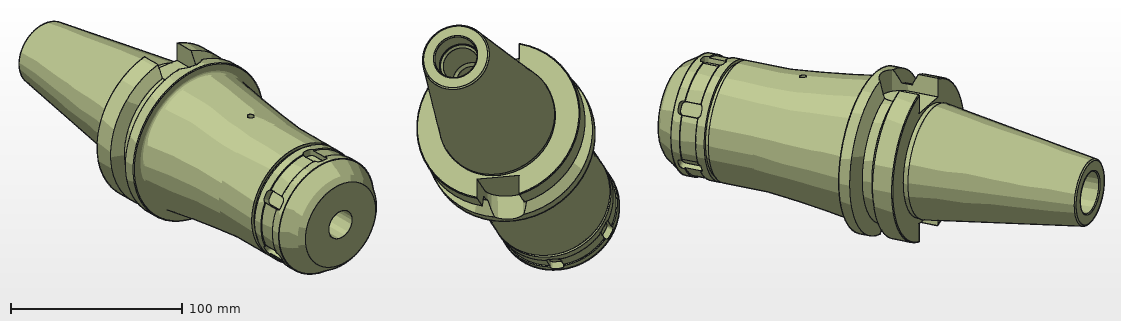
import cadquery as cq

length = 266.8
flange_radius = 100.0 / 2

taper_length = 101.5
small_end_radius = 20.0
taper_slope = 7 / 48
end_bevel = 0.8
relief_start = 102.7
relief_radius = 34.5

flange_start = 104.5
front_rim_radius = 49.0
front_rim_end = 117.5
groove_start = 121.5
groove_end = 127.5
groove_radius = 42.0
rear_rim_start = 131.8
flange_end = 139.3
rim_bevel = 0.5

neck_fillet = 2.5
neck_start = flange_end + neck_fillet
neck_start_radius = 43.5
neck_middle_radius = 39.5
body_start = 200.6
body_radius = 73.0 / 2
body_end = 229.7

nut_gap_radius = 69.5 / 2
nut_start = 232.5
nut_radius = body_radius
band_start = 238.0
band_end = 248.5
band_radius = 35.8
nose_start = 254.0
nose_step = 0.4
nose_end = 263.9
nose_end_radius = 30.1
face_radius = 27.0

key_width = 25.3
key_end = 135.3
key_floor = 35.5

slot_count = 6
slot_place = 243.9
slot_length = 15.0
slot_width = 8.3
slot_corner = 2.7
slot_floor = 32.3

oil_hole_diameter = 4.0
oil_hole_place = 186.0
oil_hole_depth = 5.3

mouth_bevel = 0.67
pocket_radius = 25.3 / 2
pocket_depth = 12.0
thread_mouth_radius = 24 / 2
thread_radius = 21.3 / 2
thread_end = 37.4
through_radius = 18.0 / 2


def holder_body():
    taper_end_radius = small_end_radius + taper_length * taper_slope
    neck_middle = (neck_start + body_start) / 2
    profile = (
        cq.Workplane("XY")
        .moveTo(0, 0)
        .lineTo(0, small_end_radius - end_bevel)
        .lineTo(end_bevel, small_end_radius + end_bevel * taper_slope)
        .lineTo(taper_length, taper_end_radius)
        .lineTo(relief_start, relief_radius)
        .lineTo(flange_start, relief_radius)
        .lineTo(flange_start, front_rim_radius - rim_bevel)
        .lineTo(flange_start + rim_bevel, front_rim_radius)
        .lineTo(front_rim_end, front_rim_radius)
        .lineTo(groove_start, groove_radius)
        .lineTo(groove_end, groove_radius)
        .lineTo(rear_rim_start, flange_radius)
        .lineTo(flange_end - rim_bevel, flange_radius)
        .lineTo(flange_end, flange_radius - rim_bevel)
        .lineTo(flange_end, neck_start_radius + neck_fillet)
        .radiusArc((neck_start, neck_start_radius), -neck_fillet)
        .threePointArc((neck_middle, neck_middle_radius), (body_start, body_radius))
        .lineTo(body_end, body_radius)
        .lineTo(body_end, nut_gap_radius)
        .lineTo(nut_start, nut_gap_radius)
        .lineTo(nut_start, nut_radius)
        .lineTo(band_start, nut_radius)
        .lineTo(band_start, band_radius)
        .lineTo(band_end, band_radius)
        .lineTo(band_end, nut_radius)
        .lineTo(nose_start, nut_radius)
        .lineTo(nose_start, nut_radius - nose_step)
        .lineTo(nose_end, nose_end_radius)
        .lineTo(length, face_radius)
        .lineTo(length, 0)
        .close()
    )
    return profile.revolve(360, (0, 0, 0), (1, 0, 0))


def keyway():
    half_width = key_width / 2
    arc_centre = key_end - half_width
    return (
        cq.Workplane("XY")
        .workplane(offset=key_floor)
        .moveTo(flange_start, -half_width)
        .lineTo(arc_centre, -half_width)
        .threePointArc((key_end, 0), (arc_centre, half_width))
        .lineTo(flange_start, half_width)
        .close()
        .extrude(flange_radius - key_floor)
    )


def spanner_slot():
    return (
        cq.Workplane("XY")
        .workplane(offset=slot_floor)
        .moveTo(slot_place, 0)
        .rect(slot_length, slot_width)
        .extrude(flange_radius - slot_floor)
        .edges("|Z")
        .fillet(slot_corner)
    )


def stepped_bore():
    thread_start = pocket_depth + thread_mouth_radius - thread_radius
    through_start = thread_end + thread_radius - through_radius
    profile = (
        cq.Workplane("XY")
        .moveTo(0, 0)
        .lineTo(0, pocket_radius + mouth_bevel)
        .lineTo(mouth_bevel, pocket_radius)
        .lineTo(pocket_depth, pocket_radius)
        .lineTo(pocket_depth, thread_mouth_radius)
        .lineTo(thread_start, thread_radius)
        .lineTo(thread_end, thread_radius)
        .lineTo(through_start, through_radius)
        .lineTo(length, through_radius)
        .lineTo(length, 0)
        .close()
    )
    return profile.revolve(360, (0, 0, 0), (1, 0, 0))


def oil_hole():
    return (
        cq.Workplane("XY")
        .workplane(offset=body_radius - oil_hole_depth)
        .moveTo(oil_hole_place, 0)
        .circle(oil_hole_diameter / 2)
        .extrude(flange_radius)
    )


def about_axis(shape, angle):
    return shape.rotate((0, 0, 0), (1, 0, 0), angle)


result = holder_body()
for angle in (0, 180):
    result = result.cut(about_axis(keyway(), angle))
for index in range(slot_count):
    result = result.cut(about_axis(spanner_slot(), index * 360 / slot_count))
result = result.cut(oil_hole())
result = result.cut(stepped_bore())